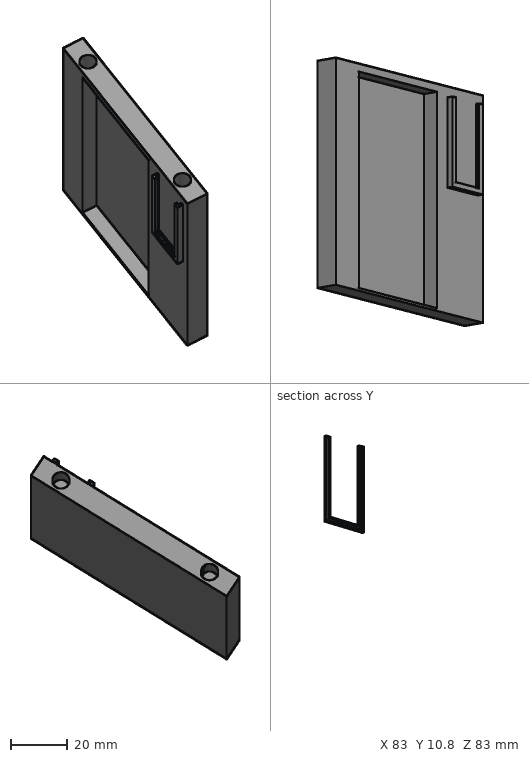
import cadquery as cq

plate_size = 83.0
plate_thickness = 8.5

pocket_left = 13.0
pocket_width = 44.0
pocket_bottom = 1.0
pocket_top_margin = 3.0
pocket_height = plate_size - pocket_bottom - pocket_top_margin
pocket_depth = 6.0

hole_diameter = 6.1
hole_depth = 10.0
hole_side_margin = 10.0
hole_centers_x = (hole_side_margin, plate_size - hole_side_margin)

holder_width = 17.0
holder_height = 33.0
holder_right_margin = 3.0
holder_top_margin = 4.0
holder_left = plate_size - holder_right_margin - holder_width
holder_bottom = plate_size - holder_top_margin - holder_height
holder_wall = 1.0
holder_lip = 2.0
slot_depth = 1.3
lip_thickness = 1.0
holder_depth = slot_depth + lip_thickness


def block(left, front, bottom, width, depth, height):
    """Box placed by its left, front, bottom corner."""
    return cq.Workplane("XY").box(width, depth, height, centered=False).translate((left, front, bottom))


def open_top_cut(border, front, depth):
    """Cut inside the holder that leaves a border at the left, right and bottom."""
    return block(
        holder_left + border,
        front,
        holder_bottom + border,
        holder_width - 2 * border,
        depth,
        holder_height - border,
    )


def make_plate():
    plate = block(0, 0, 0, plate_size, plate_thickness, plate_size)
    pocket = block(pocket_left, 0, pocket_bottom, pocket_width, pocket_depth, pocket_height)
    return plate.cut(pocket)


def make_hole(center_x):
    hole = cq.Workplane("XY").circle(hole_diameter / 2).extrude(hole_depth)
    return hole.translate((center_x, plate_thickness / 2, plate_size - hole_depth))


def make_holder():
    body = block(holder_left, -holder_depth, holder_bottom, holder_width, holder_depth, holder_height)
    slot = open_top_cut(holder_wall, -slot_depth, slot_depth)
    window = open_top_cut(holder_lip, -holder_depth, lip_thickness)
    return body.cut(slot).cut(window)


result = make_plate().union(make_holder())
for hole_x in hole_centers_x:
    result = result.cut(make_hole(hole_x))